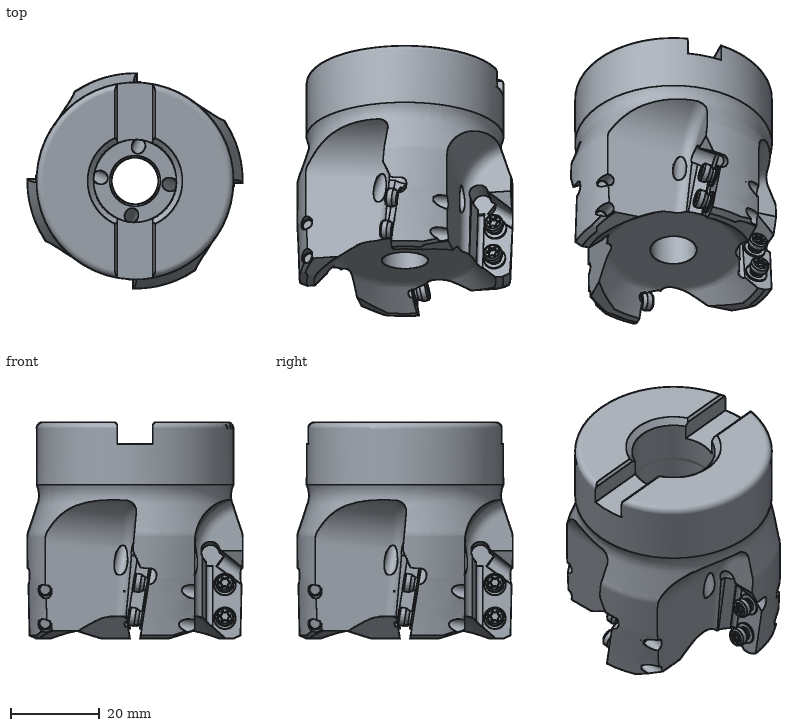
import cadquery as cq
import math

height = 48.8
flute_count = 4

hub_radius = 22.2
hub_edge_round = 1.45
hub_bottom_z = 34.7
neck_radius = 21.65
neck_mid_z = 32.35
shoulder_top_radius = 22.1
shoulder_top_z = 30.05
shoulder_bottom_radius = 23.85
shoulder_bottom_z = 24.7
shoulder_blend_radius = 24.15
shoulder_blend_z = 23.85
land_radius = 48.55 / 2
land_top_z = 23.0
land_relief_z = 13.7
land_foot_radius = 23.8
land_foot_z = 0.75
bottom_rim_radius = 22.15

keyway_width = 7.9
keyway_depth = 4.9
keyway_chamfer = 0.6
bore_radius = 9.3
bore_chamfer = 1.35
bore_floor_z = 29.25
undercut_radius = 9.5
undercut_top_z = 37.95
undercut_slope_height = 0.9
bolt_hole_radius = 5.2
bolt_hole_chamfer = 0.5

hollow_mouth_radius = 20.5
hollow_roof_radius = 14.95
hollow_roof_z = 5.03
hollow_corner_round = 2.45

pocket_tilt = 5.2
pocket_wall_x = -2.3
pocket_floor_u = 13.4
pocket_roof_radius = 11.95
pocket_roof_start_v = 19.7
pocket_corner_round = 2.7

heel_start_x = 7.55
heel_end_x = pocket_floor_u
heel_rise = 1.85
heel_rim_radius = 22.95
heel_overrun = 0.5

seat_tilt = 9.0
seat_x = 1.1
seat_inner_u = 16.1
seat_inner_taper = 1.0
seat_taper_bottom = 0.5
seat_taper_top = 3.4
shoulder_corner_u = 19.17
shoulder_corner_v = 19.5
shoulder_slope = 36.0
facet_top_z = 19.85
facet_bottom_z = 15.12
facet_bottom_x = 1.65
top_groove_radius = 1.45
side_groove_u = 16.8
side_groove_radius = 0.75
side_groove_top_v = 16.6
corner_hole_u = 17.0
corner_hole_v = 19.25
corner_hole_radius = 2.1

coolant_radius = 1.5
coolant_start = cq.Vector(-0.8, -7.8, bore_floor_z)
coolant_end = cq.Vector(-3.05, -pocket_floor_u, 17.8)
coolant_overrun = 3.9

screw_u = 20.25
screw_heights_v = (4.65, 12.35)
shank_radius = 1.5
shank_length = 7.07
shank_tip_chamfer = 0.3
flange_radius = 2.45
flange_thickness = 0.4
head_cone_start = 1.0
head_cone_end = 1.85
head_radius = 2.05
head_top = 3.45
head_edge_chamfer = 0.4
socket_core_radius = 0.9
socket_tip_radius = 1.2
socket_lobe_width = 0.5
socket_lobes = 6
socket_depth = 1.0

beyond = 29.25
overrun = 4.9


def tilted_plane(wall_x, tilt):
    """Plane of a wall facing -X: local x runs radially out (-Y), local y runs up the wall."""
    angle = math.radians(tilt)
    return cq.Plane(
        origin=(wall_x, 0, 0),
        xDir=(0, -1, 0),
        normal=(-math.cos(angle), 0, math.sin(angle)),
    )


pocket_plane = tilted_plane(pocket_wall_x, pocket_tilt)
seat_plane = tilted_plane(seat_x, seat_tilt)


def turned(workplane_outline):
    """Revolve an outline of (radius, height) about Z."""
    return workplane_outline.close().revolve(360, (0, 0, 0), (0, 1, 0))


def body_blank():
    """Turned outside: hub, necked waist, flaring shoulder and the band that carries the lands."""
    round_mid = hub_edge_round * (1 - math.sqrt(0.5))
    outline = (
        cq.Workplane("XZ")
        .lineTo(bottom_rim_radius, 0)
        .lineTo(land_foot_radius, land_foot_z)
        .lineTo(land_radius, land_relief_z)
        .lineTo(land_radius, land_top_z)
        .threePointArc(
            (shoulder_blend_radius, shoulder_blend_z),
            (shoulder_bottom_radius, shoulder_bottom_z),
        )
        .lineTo(shoulder_top_radius, shoulder_top_z)
        .threePointArc((neck_radius, neck_mid_z), (hub_radius, hub_bottom_z))
        .lineTo(hub_radius, height - hub_edge_round)
        .threePointArc(
            (hub_radius - round_mid, height - round_mid),
            (hub_radius - hub_edge_round, height),
        )
        .lineTo(0, height)
    )
    return turned(outline)


def bore():
    """Stepped bore with a lead-in chamfer, an undercut and a bolt hole down into the hollow."""
    outline = (
        cq.Workplane("XZ")
        .lineTo(bolt_hole_radius, 0)
        .lineTo(bolt_hole_radius, bore_floor_z - bolt_hole_chamfer)
        .lineTo(bolt_hole_radius + bolt_hole_chamfer, bore_floor_z)
        .lineTo(undercut_radius, bore_floor_z)
        .lineTo(undercut_radius, undercut_top_z - undercut_slope_height)
        .lineTo(bore_radius, undercut_top_z)
        .lineTo(bore_radius, height - bore_chamfer)
        .lineTo(bore_radius + bore_chamfer, height)
        .lineTo(0, height)
    )
    return turned(outline)


def hollow():
    """Conical hollow in the bottom face, with a flat roof and a rounded corner."""
    outline = (
        cq.Workplane("XZ")
        .lineTo(hollow_mouth_radius, 0)
        .lineTo(hollow_roof_radius, hollow_roof_z)
        .lineTo(0, hollow_roof_z)
    )
    return turned(outline).edges(">Z").fillet(hollow_corner_round)


def keyway():
    """Slot along Y across the top face, with chamfered upper edges."""
    half_width = keyway_width / 2
    half_mouth = half_width + keyway_chamfer
    return (
        cq.Workplane("XZ")
        .moveTo(-half_width, height - keyway_depth)
        .lineTo(half_width, height - keyway_depth)
        .lineTo(half_width, height - keyway_chamfer)
        .lineTo(half_mouth, height)
        .lineTo(-half_mouth, height)
        .lineTo(-half_width, height - keyway_chamfer)
        .close()
        .extrude(beyond, both=True)
    )


def chip_pocket():
    """Flat floor running up into a round roof, closed by a wall with a rounded corner."""
    roof_centre_u = pocket_floor_u + pocket_roof_radius
    roof_top_v = pocket_roof_start_v + pocket_roof_radius
    diagonal = pocket_roof_radius * math.sqrt(0.5)
    cutter = (
        cq.Workplane(pocket_plane)
        .moveTo(pocket_floor_u, -overrun)
        .lineTo(pocket_floor_u, pocket_roof_start_v)
        .threePointArc(
            (roof_centre_u - diagonal, pocket_roof_start_v + diagonal),
            (roof_centre_u, roof_top_v),
        )
        .lineTo(beyond, roof_top_v)
        .lineTo(beyond, -overrun)
        .close()
        .extrude(beyond)
    )
    wall_centre = pocket_plane.toWorldCoords((pocket_floor_u, pocket_roof_start_v / 2, 0))
    roof_centre = pocket_plane.toWorldCoords(
        (roof_centre_u - diagonal, pocket_roof_start_v + diagonal, 0)
    )
    corner_edges = [
        cutter.edges(cq.NearestToPointSelector(point.toTuple())).val()
        for point in (wall_centre, roof_centre)
    ]
    return cutter.newObject(corner_edges).fillet(pocket_corner_round)


def heel_relief():
    """Space below a land's tilted, chamfered bottom, from the heel start to the trailing end."""
    chamfer_slope = land_foot_z / (land_foot_radius - bottom_rim_radius)
    chamfer_reach_z = (beyond - heel_rim_radius) * chamfer_slope
    heel_form = turned(
        cq.Workplane("XZ")
        .lineTo(heel_rim_radius, 0)
        .lineTo(beyond, chamfer_reach_z)
        .lineTo(beyond, height)
        .lineTo(0, height)
    )
    heel_tilt = math.degrees(math.atan2(heel_rise, heel_end_x - heel_start_x))
    heel_form = heel_form.rotate((heel_start_x, 0, 0), (heel_start_x, 1, 0), -heel_tilt)
    surroundings = cq.Workplane("XY", origin=(heel_start_x, -beyond, 0)).box(
        heel_end_x - heel_start_x + heel_overrun,
        beyond - heel_start_x,
        2 * (heel_rise + chamfer_reach_z),
        centered=(False, False, True),
    )
    return surroundings.cut(heel_form)


def shoulder_v(u):
    """Height of the seat's sloping top shoulder at the radial distance u."""
    return shoulder_corner_v - (u - shoulder_corner_u) * math.tan(math.radians(shoulder_slope))


def insert_seat():
    """Recess for the insert, with a sloping top shoulder and a tapered inner wall."""
    reach = overrun * 2
    recess = (
        cq.Workplane(seat_plane)
        .moveTo(seat_inner_u, -overrun)
        .lineTo(seat_inner_u, corner_hole_v)
        .lineTo(shoulder_corner_u, shoulder_corner_v)
        .lineTo(beyond, shoulder_v(beyond))
        .lineTo(beyond, -overrun)
        .close()
        .extrude(reach)
    )
    section_plane = cq.Plane(
        origin=seat_plane.toWorldCoords((seat_inner_u, -overrun, 0)).toTuple(),
        xDir=seat_plane.zDir.toTuple(),
        normal=seat_plane.yDir.toTuple(),
    )
    taper = (
        cq.Workplane(section_plane)
        .moveTo(seat_taper_bottom, 0)
        .lineTo(seat_taper_top, -seat_inner_taper)
        .lineTo(reach, -seat_inner_taper)
        .lineTo(reach, 0)
        .close()
        .extrude(corner_hole_v + overrun)
    )
    return recess.union(taper)


def seat_grooves():
    """Round groove under the top shoulder, slot along the inner wall and corner relief hole."""
    slope = math.radians(shoulder_slope)
    groove_start_v = shoulder_corner_v - top_groove_radius / math.cos(slope)
    groove_start = seat_plane.toWorldCoords((shoulder_corner_u, groove_start_v, 0))
    groove_end = seat_plane.toWorldCoords(
        (beyond, groove_start_v + shoulder_v(beyond) - shoulder_corner_v, 0)
    )
    groove_path = groove_end - groove_start
    top_groove = cq.Workplane(
        cq.Solid.makeCylinder(top_groove_radius, groove_path.Length, groove_start, groove_path)
    )
    side_groove_start = seat_plane.toWorldCoords((side_groove_u, -overrun, 0))
    side_groove = cq.Workplane(
        cq.Solid.makeCylinder(
            side_groove_radius,
            side_groove_top_v + overrun,
            side_groove_start,
            seat_plane.yDir,
        )
    )
    corner_hole = (
        cq.Workplane(seat_plane)
        .center(corner_hole_u, corner_hole_v)
        .circle(corner_hole_radius)
        .extrude(overrun * 2)
    )
    return top_groove.union(side_groove).union(corner_hole)


def shoulder_facet():
    """Sloping facet that eases the pocket wall down to the seat's top shoulder."""
    facet_top_x = pocket_wall_x + facet_top_z * math.tan(math.radians(pocket_tilt))
    return (
        cq.Workplane("XZ", origin=(0, -corner_hole_u, 0))
        .moveTo(facet_top_x, facet_top_z)
        .lineTo(facet_bottom_x, facet_bottom_z)
        .lineTo(-overrun, facet_bottom_z)
        .lineTo(-overrun, facet_top_z)
        .close()
        .extrude(beyond - corner_hole_u)
    )


def coolant_hole():
    """Slanting hole, begun above the bore floor and ended in the open chip pocket."""
    path = coolant_end - coolant_start
    start = coolant_start - path.normalized() * coolant_overrun
    length = path.Length + 2 * coolant_overrun
    return cq.Workplane(cq.Solid.makeCylinder(coolant_radius, length, start, path))


def screw_bores():
    """Straight bores from the seat out through the back of the land."""
    return (
        cq.Workplane(seat_plane)
        .pushPoints([(screw_u, v) for v in screw_heights_v])
        .circle(shank_radius)
        .extrude(-beyond)
    )


def at_flute(shape, index):
    """Copy of a shape turned about Z from the first flute to the flute with this index."""
    return shape.rotate((0, 0, 0), (0, 0, 1), index * 360 / flute_count)


def cutter_body():
    """Milling cutter body with its bore, keyway and equally spaced flutes."""
    body = body_blank().cut(bore()).cut(hollow()).cut(keyway())
    flute_cutters = [
        chip_pocket(),
        heel_relief(),
        insert_seat(),
        seat_grooves(),
        shoulder_facet(),
        coolant_hole(),
        screw_bores(),
    ]
    for index in range(flute_count):
        for flute_cutter in flute_cutters:
            body = body.cut(at_flute(flute_cutter, index))
    return body


def clamp_screw(v):
    """Flanged screw with a six-lobe socket, its flange resting on the seat at height v."""
    screw_plane = cq.Plane(
        origin=seat_plane.toWorldCoords((screw_u, v, 0)).toTuple(),
        xDir=seat_plane.xDir.toTuple(),
        normal=seat_plane.zDir.toTuple(),
    )
    outline = (
        cq.Workplane("XZ")
        .moveTo(0, -shank_length)
        .lineTo(shank_radius - shank_tip_chamfer, -shank_length)
        .lineTo(shank_radius, shank_tip_chamfer - shank_length)
        .lineTo(shank_radius, 0)
        .lineTo(flange_radius, 0)
        .lineTo(flange_radius, flange_thickness)
        .lineTo(shank_radius, flange_thickness)
        .lineTo(shank_radius, head_cone_start)
        .lineTo(head_radius, head_cone_end)
        .lineTo(head_radius, head_top - head_edge_chamfer)
        .lineTo(head_radius - head_edge_chamfer, head_top)
        .lineTo(0, head_top)
    )
    socket_top = cq.Workplane("XY", origin=(0, 0, head_top))
    socket = socket_top.circle(socket_core_radius).extrude(-socket_depth)
    for lobe in range(socket_lobes // 2):
        bar = socket_top.rect(2 * socket_tip_radius, socket_lobe_width).extrude(-socket_depth)
        socket = socket.union(bar.rotate((0, 0, 0), (0, 0, 1), lobe * 360 / socket_lobes))
    screw = turned(outline).cut(socket)
    return cq.Workplane(screw.val().located(cq.Location(screw_plane)))


body = cutter_body()
screws = [
    at_flute(clamp_screw(v), index)
    for index in range(flute_count)
    for v in screw_heights_v
]
result = cq.Compound.makeCompound([body.val(), *[screw.val() for screw in screws]])